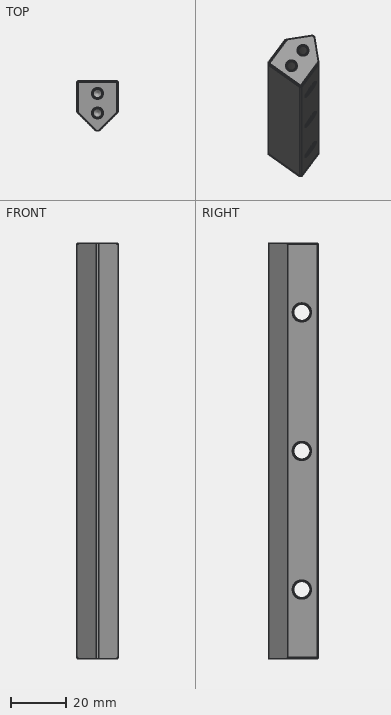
import cadquery as cq
import math

width = 15.0
depth = 18.0
length = 150.0
tip_flat = 1.0
edge_chamfer = 0.5

cross_hole_diameter = 6.0
cross_hole_rim_diameter = 6.8
cross_hole_pitch = length / 3
cross_hole_from_back = 6.0

end_hole_diameter = 3.3
end_hole_rim_diameter = 4.0
end_hole_depth = 15.0
end_hole_from_back = 4.5
end_hole_pitch = 7.0
drill_point_angle = 118.0

back_y = depth / 2
tip_y = -depth / 2
top_z = length / 2
side_x = width / 2
shoulder_y = tip_y + (width - tip_flat) / 2


def make_bar():
    """Extrude the pentagonal outline and chamfer the square-edged half."""
    outline = [
        (-side_x, back_y),
        (-side_x, shoulder_y),
        (-tip_flat / 2, tip_y),
        (tip_flat / 2, tip_y),
        (side_x, shoulder_y),
        (side_x, back_y),
    ]
    bar = cq.Workplane("XY").polyline(outline).close().extrude(top_z, both=True)

    back_edges = bar.faces(">Y").edges()
    side_end_edges = bar.faces("<X or >X").edges("|Y")
    chamfered_edges = bar.newObject(back_edges.vals() + side_end_edges.vals())
    return chamfered_edges.chamfer(edge_chamfer)


def cross_hole(z):
    """Through hole along X, countersunk where it meets each side face."""
    bore = cross_hole_diameter / 2
    rim = cross_hole_rim_diameter / 2
    countersink = rim - bore
    axis_y = back_y - cross_hole_from_back
    profile = [
        (-side_x, 0),
        (-side_x, rim),
        (-side_x + countersink, bore),
        (side_x - countersink, bore),
        (side_x, rim),
        (side_x, 0),
    ]
    hole = cq.Workplane("XY").polyline(profile).close().revolve(360, (0, 0), (1, 0))
    return hole.translate((0, axis_y, z))


def end_hole(y):
    """Blind hole down from the top end, with a countersunk mouth and a conical bottom."""
    bore = end_hole_diameter / 2
    rim = end_hole_rim_diameter / 2
    countersink = rim - bore
    point_height = bore / math.tan(math.radians(drill_point_angle / 2))
    profile = [
        (0, 0),
        (rim, 0),
        (bore, -countersink),
        (bore, -end_hole_depth),
        (0, -end_hole_depth - point_height),
    ]
    hole = cq.Workplane("XZ").polyline(profile).close().revolve(360, (0, 0), (0, 1))
    return hole.translate((0, y, top_z))


result = make_bar()

for step in (-1, 0, 1):
    result = result.cut(cross_hole(step * cross_hole_pitch))

for index in range(2):
    result = result.cut(end_hole(back_y - end_hole_from_back - index * end_hole_pitch))